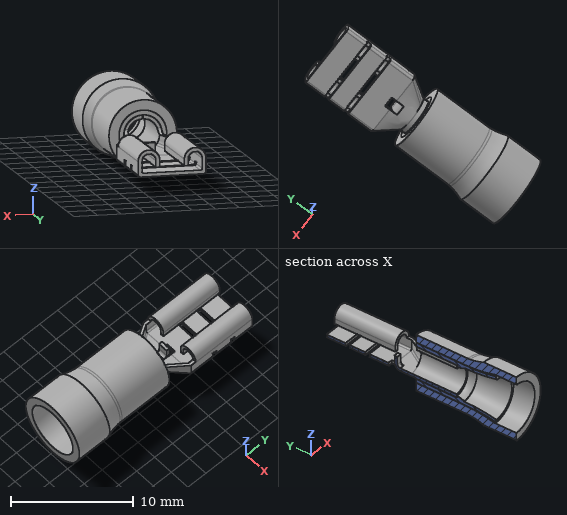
import cadquery as cq
import math


TOTAL_LENGTH = 19.59
METAL = 0.33

SLEEVE_LENGTH = 10.36
MOUTH_RADIUS = 6.48 / 2
GRIP_RADIUS = 2.88
SHOULDER_RADIUS = 2.9
SHOULDER_MID_RADIUS = 3.02
MOUTH_LENGTH = 3.37
SHOULDER_END = 4.8
BLEND_END = 5.03
BORE_RADIUS = 2.45
BORE_DEPTH = 2.25

FLARE_DEPTH = 2.05
FLARE_ANGLE = math.radians(12)
FLARE_CURVE_RADIUS = 16.06
FERRULE_RADIUS = 1.68
THROAT_RADIUS = 2.92 / 2
THROAT_ANGLE = math.radians(33)

BARREL_RADIUS = 3.23 / 2
BARREL_BORE_RADIUS = BARREL_RADIUS - METAL
SEAM_GAP = 0.08
NECK_END = 10.83
NECK_FILLET = 0.49
NECK_SPLITS = (180, 212, 222, 318, 328, 360)

TRAY_START = 12.77
ROLL_START = 13.3
TRAY_HALF_WIDTH = 2.88
TRAY_BOTTOM = -BARREL_RADIUS
WALL_TOP = -0.3
OUTER_CORNER = 0.24
INNER_CORNER = 0.15
ROLL_RADIUS = 0.92
ROLL_TIP = -0.85
SLOT_WIDTH = 0.41
SLOT_HEIGHT = 0.59
SLOT_STARTS = (15.2, 17.22)

TAB_WIDTH = 0.9
TAB_ROOT = 11.99
TAB_HOLE_END = 13.2
TAB_TOP = -0.27
TAB_BEND = 0.3

FERRULE_OUTER_RADIUS = FERRULE_RADIUS + METAL
FLARE_ROOT = FLARE_DEPTH + FLARE_CURVE_RADIUS * math.sin(FLARE_ANGLE)
FLARE_CENTRE_RADIUS = FERRULE_RADIUS + FLARE_CURVE_RADIUS
THROAT_CURVE_RADIUS = (FERRULE_RADIUS - THROAT_RADIUS) / (1 - math.cos(THROAT_ANGLE))
BARREL_START = FLARE_ROOT + THROAT_CURVE_RADIUS * math.sin(THROAT_ANGLE)


def flare_point(curve_radius, angle):
    """(radius, Y) on a flare curve, at an angle from its root."""
    radius = FLARE_CENTRE_RADIUS - curve_radius * math.cos(angle)
    return radius, FLARE_ROOT - curve_radius * math.sin(angle)


def throat_point(angle):
    """(radius, Y) on the rounded throat, at an angle from its narrow end."""
    radius = THROAT_RADIUS + THROAT_CURVE_RADIUS * (1 - math.cos(angle))
    return radius, BARREL_START - THROAT_CURVE_RADIUS * math.sin(angle)


def revolved(profile):
    return profile.close().revolve(360, (0, 0, 0), (0, 1, 0))


def make_sleeve():
    """Stepped tube whose bore narrows behind the flare onto the straight part of the ferrule."""
    shoulder_mid = (MOUTH_LENGTH + SHOULDER_END) / 2
    profile = (
        cq.Workplane("XY")
        .moveTo(BORE_RADIUS, 0)
        .lineTo(MOUTH_RADIUS, 0)
        .lineTo(MOUTH_RADIUS, MOUTH_LENGTH)
        .threePointArc((SHOULDER_MID_RADIUS, shoulder_mid), (SHOULDER_RADIUS, SHOULDER_END))
        .tangentArcPoint((GRIP_RADIUS, BLEND_END), relative=False)
        .lineTo(GRIP_RADIUS, SLEEVE_LENGTH)
        .lineTo(FERRULE_OUTER_RADIUS, SLEEVE_LENGTH)
        .lineTo(FERRULE_OUTER_RADIUS, FLARE_ROOT)
        .tangentArcPoint((BORE_RADIUS, BORE_DEPTH), relative=False)
    )
    return revolved(profile)


def make_ferrule():
    """Flared tube with a rounded throat in front of the recess that holds the barrel."""
    outer_curve = FLARE_CURVE_RADIUS - METAL
    profile = (
        cq.Workplane("XY")
        .moveTo(*flare_point(FLARE_CURVE_RADIUS, FLARE_ANGLE))
        .lineTo(*flare_point(outer_curve, FLARE_ANGLE))
        .threePointArc(flare_point(outer_curve, FLARE_ANGLE / 2), (FERRULE_OUTER_RADIUS, FLARE_ROOT))
        .lineTo(FERRULE_OUTER_RADIUS, SLEEVE_LENGTH)
        .lineTo(BARREL_RADIUS, SLEEVE_LENGTH)
        .lineTo(BARREL_RADIUS, BARREL_START)
        .lineTo(THROAT_RADIUS, BARREL_START)
        .threePointArc(throat_point(THROAT_ANGLE / 2), (FERRULE_RADIUS, FLARE_ROOT))
        .threePointArc(
            flare_point(FLARE_CURVE_RADIUS, FLARE_ANGLE / 2),
            flare_point(FLARE_CURVE_RADIUS, FLARE_ANGLE),
        )
    )
    return revolved(profile)


def cross_section(y):
    """Workplane at Y = y whose local axes are X and Z and whose normal is -Y."""
    return cq.Workplane("XZ", origin=(0, y, 0))


def box(x_range, y_range, z_range):
    size = [high - low for low, high in (x_range, y_range, z_range)]
    corner = (x_range[0], y_range[0], z_range[0])
    return cq.Workplane(cq.Solid.makeBox(*size, cq.Vector(*corner)))


def make_barrel():
    """Rolled tube with a seam on top, opened to its lower half at the neck."""
    length = NECK_END - BARREL_START
    tube = (
        cross_section(NECK_END)
        .circle(BARREL_RADIUS)
        .circle(BARREL_BORE_RADIUS)
        .extrude(length)
    )
    seam = box((-SEAM_GAP / 2, SEAM_GAP / 2), (BARREL_START, NECK_END), (0, BARREL_RADIUS))
    diagonal = NECK_FILLET * (1 - math.sqrt(0.5))
    opening = (
        cq.Workplane("YZ", origin=(-BARREL_RADIUS, 0, 0))
        .moveTo(NECK_END, 0)
        .threePointArc(
            (NECK_END - NECK_FILLET + diagonal, diagonal),
            (NECK_END - NECK_FILLET, NECK_FILLET),
        )
        .lineTo(NECK_END - NECK_FILLET, BARREL_RADIUS)
        .lineTo(NECK_END, BARREL_RADIUS)
        .close()
        .extrude(2 * BARREL_RADIUS)
    )
    return tube.cut(seam).cut(opening)


def corner_mid(half_width, bottom, radius):
    """Middle of the rounded bottom corner on the +X side."""
    inset = radius * (1 - math.sqrt(0.5))
    return half_width - inset, bottom + inset


def tray_section(plane):
    """U-shaped tray section: outside from left to right, then inside back to the left."""
    half, bottom, corner = TRAY_HALF_WIDTH, TRAY_BOTTOM, OUTER_CORNER
    mid_x, mid_z = corner_mid(half, bottom, corner)
    in_half, in_bottom, in_corner = half - METAL, bottom + METAL, INNER_CORNER
    in_mid_x, in_mid_z = corner_mid(in_half, in_bottom, in_corner)
    return (
        plane.moveTo(-half, WALL_TOP)
        .lineTo(-half, bottom + corner)
        .threePointArc((-mid_x, mid_z), (corner - half, bottom))
        .lineTo(half - corner, bottom)
        .threePointArc((mid_x, mid_z), (half, bottom + corner))
        .lineTo(half, WALL_TOP)
        .lineTo(in_half, WALL_TOP)
        .lineTo(in_half, in_bottom + in_corner)
        .threePointArc((in_mid_x, in_mid_z), (in_half - in_corner, in_bottom))
        .lineTo(in_corner - in_half, in_bottom)
        .threePointArc((-in_mid_x, in_mid_z), (-in_half, in_bottom + in_corner))
        .lineTo(-in_half, WALL_TOP)
        .close()
    )


def neck_section(plane):
    """Lower half ring, split into arcs that pair with the walls, corners and floor of the tray."""
    def ring_point(radius, degrees):
        angle = math.radians(degrees)
        return radius * math.cos(angle), radius * math.sin(angle)

    def arcs(path, radius, stops):
        for start, stop in zip(stops, stops[1:]):
            path = path.threePointArc(ring_point(radius, (start + stop) / 2), ring_point(radius, stop))
        return path

    path = arcs(plane.moveTo(-BARREL_RADIUS, 0), BARREL_RADIUS, NECK_SPLITS)
    path = path.lineTo(BARREL_BORE_RADIUS, 0)
    return arcs(path, BARREL_BORE_RADIUS, NECK_SPLITS[::-1]).close()


def make_transition():
    """Neck widening from the half ring to the tray."""
    tray_wire = tray_section(cross_section(TRAY_START)).val()
    neck_wire = neck_section(cross_section(NECK_END)).val()
    return cq.Workplane(cq.Solid.makeLoft([tray_wire, neck_wire], True))


def make_roll():
    """Inward curl on top of the -X wall."""
    outer_x = -TRAY_HALF_WIDTH
    centre_x = outer_x + ROLL_RADIUS
    inner_x = centre_x + ROLL_RADIUS
    return (
        cross_section(TOTAL_LENGTH)
        .moveTo(outer_x, WALL_TOP)
        .threePointArc((centre_x, WALL_TOP + ROLL_RADIUS), (inner_x, WALL_TOP))
        .lineTo(inner_x, ROLL_TIP)
        .lineTo(inner_x - METAL, ROLL_TIP)
        .lineTo(inner_x - METAL, WALL_TOP)
        .threePointArc((centre_x, WALL_TOP + ROLL_RADIUS - METAL), (outer_x + METAL, WALL_TOP))
        .close()
        .extrude(TOTAL_LENGTH - ROLL_START)
    )


def make_stop_tab():
    """Strip that leaves the floor at its root and bends up to stand vertically."""
    floor_top = TRAY_BOTTOM + METAL
    outer_bend = TAB_BEND + METAL
    bend_z = floor_top + TAB_BEND
    diagonal = math.sqrt(0.5)
    return (
        cq.Workplane("YZ", origin=(-TAB_WIDTH / 2, 0, 0))
        .moveTo(TAB_ROOT, TRAY_BOTTOM)
        .threePointArc(
            (TAB_ROOT + outer_bend * diagonal, bend_z - outer_bend * diagonal),
            (TAB_ROOT + outer_bend, bend_z),
        )
        .lineTo(TAB_ROOT + outer_bend, TAB_TOP)
        .lineTo(TAB_ROOT + TAB_BEND, TAB_TOP)
        .lineTo(TAB_ROOT + TAB_BEND, bend_z)
        .threePointArc(
            (TAB_ROOT + TAB_BEND * diagonal, bend_z - TAB_BEND * diagonal),
            (TAB_ROOT, floor_top),
        )
        .close()
        .extrude(TAB_WIDTH)
    )


def make_terminal():
    tray = tray_section(cross_section(TOTAL_LENGTH)).extrude(TOTAL_LENGTH - TRAY_START)
    roll = make_roll()
    body = tray.union(roll).union(roll.mirror("YZ"))
    body = body.union(make_transition()).union(make_barrel())

    for start in SLOT_STARTS:
        slot = box(
            (-TRAY_HALF_WIDTH, TRAY_HALF_WIDTH),
            (start, start + SLOT_WIDTH),
            (TRAY_BOTTOM, TRAY_BOTTOM + SLOT_HEIGHT),
        )
        body = body.cut(slot)

    tab_hole = box((-TAB_WIDTH / 2, TAB_WIDTH / 2), (TAB_ROOT, TAB_HOLE_END), (TRAY_BOTTOM, WALL_TOP))
    return body.cut(tab_hole).union(make_stop_tab())


sleeve = make_sleeve()
ferrule = make_ferrule()
terminal = make_terminal()

result = cq.Compound.makeCompound([sleeve.val(), ferrule.val(), terminal.solids().val()])